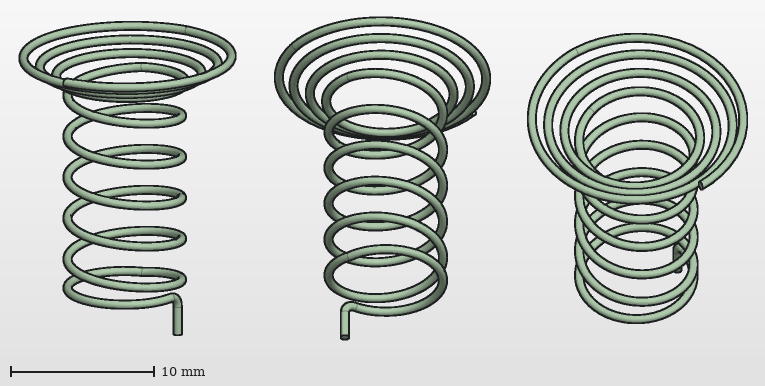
import cadquery as cq
import math

wire_radius = 0.3
total_height = 20.1

body_radius = 4.0
body_pitch = 3.0
body_turns = 5
seam_angle = 108.0

ring_radius = 7.48
spiral_rise = 1.97
spiral_turns = 3 + (seam_angle - 90) / 360
ring_start_angle = 90.0
ring_end_angle = -87.0

bend_radius = 0.8

points_per_turn = 24

ring_z = total_height - wire_radius
spiral_z = ring_z - spiral_rise
coil_z = spiral_z - body_pitch * body_turns
tail_top_z = coil_z - bend_radius


def polar(radius, angle, z):
    """Point at a radius and an angle in degrees around the Z axis."""
    turn = math.radians(angle)
    return cq.Vector(radius * math.cos(turn), radius * math.sin(turn), z)


def coil(start_radius, end_radius, start_angle, sweep_angle, start_z, rise):
    """Centre line wound clockwise while its radius and height change evenly."""

    def centre(t):
        radius = start_radius + (end_radius - start_radius) * t
        return polar(radius, start_angle - sweep_angle * t, start_z + rise * t)

    count = math.ceil(points_per_turn * sweep_angle / 360)
    return cq.Edge.makeSpline([centre(i / count) for i in range(count + 1)])


def tail():
    """Centre line of the straight pin and its quarter bend into the flat end coil."""
    bend_reach = bend_radius * math.sqrt(0.5)
    foot = cq.Vector(body_radius, bend_radius, 0)
    bend_start = cq.Vector(body_radius, bend_radius, tail_top_z)
    bend_middle = cq.Vector(body_radius, bend_reach, tail_top_z + bend_reach)
    bend_end = cq.Vector(body_radius, 0, coil_z)
    return [
        cq.Edge.makeLine(foot, bend_start),
        cq.Edge.makeThreePointArc(bend_start, bend_middle, bend_end),
    ]


def flat_arc(radius, start_angle, end_angle, z):
    """Level circular arc of the centre line."""
    middle_angle = (start_angle + end_angle) / 2
    return cq.Edge.makeThreePointArc(
        polar(radius, start_angle, z),
        polar(radius, middle_angle, z),
        polar(radius, end_angle, z),
    )


end_coil = flat_arc(body_radius, 0, seam_angle - 360, coil_z)
body = coil(body_radius, body_radius, seam_angle, 360 * body_turns, coil_z, body_pitch * body_turns)
spiral = coil(body_radius, ring_radius, seam_angle, 360 * spiral_turns, spiral_z, spiral_rise)
top_ring = flat_arc(ring_radius, ring_start_angle, ring_end_angle, ring_z)

centre_line = cq.Wire.assembleEdges(tail() + [end_coil, body, spiral, top_ring])
wire_section = cq.Workplane("XY", origin=(body_radius, bend_radius, 0)).circle(wire_radius)
result = wire_section.sweep(centre_line, transition="transformed")